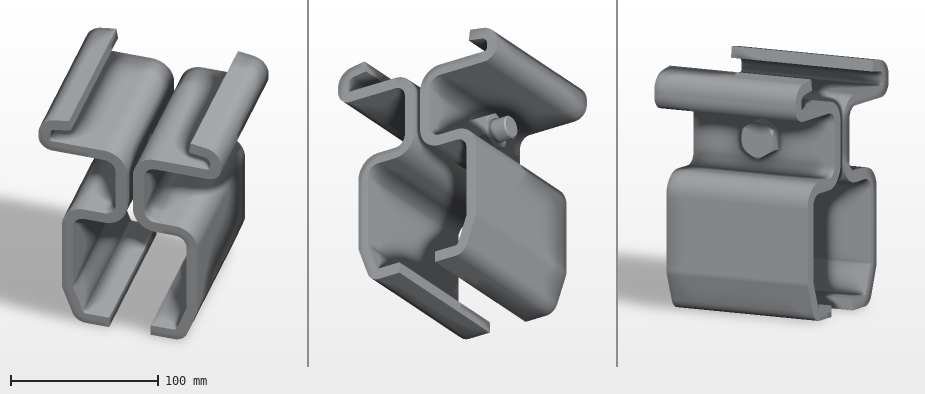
import cadquery as cq
import math

overall_width = 130.0
overall_height = 168.5
rail_length = 110.0
wall = 8.0
half_wall = wall / 2
web_gap = 4.5
lip_gap = 29.3
track_width = 96.5
shoulder_top = 96.0
flange_bottom = 141.1
slant_top = 27.6
slant_angle = 20.0
hook_tip_x = 42.7
hook_rise = 8.5

sharp_bend = 0.2
tight_bend = 2.0
hook_bend = 4.9
wide_bend = 8.1

bolt_z = (shoulder_top + flange_bottom) / 2
bolt_diameter = 16.0
clearance_diameter = 17.0
tip_diameter = 13.8
bolt_tip_x = -40.3
across_flats = 24.0
across_corners = across_flats / math.cos(math.radians(30))
head_height = 10.0
head_face_diameter = 24.6
bearing_diameter = 22.5
bearing_height = 0.5
head_chamfer_height = 1.3
nut_outer_x = -27.8
nut_face_diameter = 22.5
nut_chamfer_height = 0.7
washer_diameter = 27.5
washer_thickness = 2.7

web_outer_x = web_gap / 2 + wall
washer_outer_x = -web_outer_x - washer_thickness


def rail_path():
    """Corners (x, z) of the +X rail's middle line, each with its inside bend radius."""
    lip_z = half_wall
    wall_x = track_width / 2 - half_wall
    shoulder_z = shoulder_top - half_wall
    web_x = web_gap / 2 + half_wall
    flange_z = flange_bottom + half_wall
    hook_x = overall_width / 2 - half_wall
    slant_foot_x = wall_x - (slant_top - lip_z) * math.tan(math.radians(slant_angle))
    rise = math.radians(hook_rise)
    tip_z = overall_height - half_wall * math.cos(rise)
    hook_z = tip_z - (hook_x - hook_tip_x) * math.tan(rise)
    return [
        ((lip_gap / 2, lip_z), 0),
        ((slant_foot_x, lip_z), tight_bend),
        ((wall_x, slant_top), sharp_bend),
        ((wall_x, shoulder_z), wide_bend),
        ((web_x, shoulder_z), wide_bend),
        ((web_x, flange_z), wide_bend),
        ((hook_x, flange_z), tight_bend),
        ((hook_x, hook_z), hook_bend),
        ((hook_tip_x, tip_z), 0),
    ]


def strip_side(path, offset):
    """Edges of the line running parallel to a path with round bends, offset to its left."""
    points = [cq.Vector(x, z) for (x, z), _ in path]
    headings = [(b - a).normalized() for a, b in zip(points, points[1:])]
    normals = [cq.Vector(-h.y, h.x) for h in headings]
    edges = []
    start = points[0] + normals[0] * offset
    for i in range(1, len(points) - 1):
        turn = math.atan2(headings[i - 1].cross(headings[i]).z, headings[i - 1].dot(headings[i]))
        side = math.copysign(1, turn)
        middle_radius = path[i][1] + half_wall
        tangent_length = middle_radius * math.tan(abs(turn) / 2)
        bend_start = points[i] - headings[i - 1] * tangent_length
        center = bend_start + normals[i - 1] * (side * middle_radius)
        radius = middle_radius - side * offset
        arc_start = center - normals[i - 1] * (side * radius)
        arc_middle = center - (normals[i - 1] + normals[i]).normalized() * (side * radius)
        arc_end = center - normals[i] * (side * radius)
        edges.append(cq.Edge.makeLine(start, arc_start))
        edges.append(cq.Edge.makeThreePointArc(arc_start, arc_middle, arc_end))
        start = arc_end
    edges.append(cq.Edge.makeLine(start, points[-1] + normals[-1] * offset))
    return edges


def x_cylinder(start_x, end_x, diameter):
    """Cylinder on the bolt axis between two X positions."""
    plane = cq.Workplane("YZ", origin=(start_x, 0, bolt_z))
    return plane.circle(diameter / 2).extrude(end_x - start_x)


def make_rail():
    """The +X rail, with its bolt hole."""
    path = rail_path()
    left = strip_side(path, half_wall)
    right = strip_side(path, -half_wall)
    ends = [
        cq.Edge.makeLine(left[0].startPoint(), right[0].startPoint()),
        cq.Edge.makeLine(left[-1].endPoint(), right[-1].endPoint()),
    ]
    profile = cq.Wire.assembleEdges(cq.Wire.combine(left + right + ends)[0].Edges())
    blank = cq.Solid.extrudeLinear(profile, [], cq.Vector(0, 0, rail_length))
    upright = blank.rotate(cq.Vector(0, 0, 0), cq.Vector(1, 0, 0), 90)
    centred = cq.Workplane(upright).translate((0, rail_length / 2, 0))
    return centred.cut(x_cylinder(0, overall_width / 2, clearance_diameter))


def make_hexagon(start_x, end_x):
    """Hexagonal prism on the bolt axis, with corners pointing up and down."""
    plane = cq.Workplane("YZ", origin=(start_x, 0, bolt_z)).transformed(rotate=(0, 0, 90))
    return plane.polygon(6, across_corners).extrude(end_x - start_x)


def revolve_about_bolt(outline):
    """Solid turned about the bolt axis from (x, radius) points."""
    plane = cq.Workplane("XZ", origin=(0, 0, bolt_z))
    return plane.polyline(outline).close().revolve(360, (0, 0, 0), (1, 0, 0))


def make_bolt():
    """Hex bolt with a chamfered head and tip, and a raised bearing face under the head."""
    hexagon_x = web_outer_x + bearing_height
    head_end_x = web_outer_x + head_height
    head_envelope = revolve_about_bolt([
        (hexagon_x, 0),
        (hexagon_x, across_corners / 2),
        (head_end_x - head_chamfer_height, across_corners / 2),
        (head_end_x, head_face_diameter / 2),
        (head_end_x, 0),
    ])
    head = make_hexagon(hexagon_x, head_end_x).intersect(head_envelope)
    bearing_face = x_cylinder(web_outer_x, hexagon_x, bearing_diameter)
    tip_chamfer = (bolt_diameter - tip_diameter) / 2
    shank = x_cylinder(bolt_tip_x, web_outer_x, bolt_diameter).faces("<X").chamfer(tip_chamfer)
    return head.union(bearing_face).union(shank)


def make_nut():
    """Hex nut, chamfered at both faces."""
    envelope = revolve_about_bolt([
        (nut_outer_x, 0),
        (nut_outer_x, nut_face_diameter / 2),
        (nut_outer_x + nut_chamfer_height, across_corners / 2),
        (washer_outer_x - nut_chamfer_height, across_corners / 2),
        (washer_outer_x, nut_face_diameter / 2),
        (washer_outer_x, 0),
    ])
    body = make_hexagon(nut_outer_x, washer_outer_x).intersect(envelope)
    return body.cut(x_cylinder(nut_outer_x, washer_outer_x, bolt_diameter))


def make_washer():
    """Plain washer between the nut and the -X rail."""
    disc = x_cylinder(washer_outer_x, -web_outer_x, washer_diameter)
    return disc.cut(x_cylinder(washer_outer_x, -web_outer_x, clearance_diameter))


right_rail = make_rail()
left_rail = right_rail.mirror("YZ")
bolt = make_bolt()
nut = make_nut()
washer = make_washer()

result = cq.Compound.makeCompound([
    right_rail.val(),
    left_rail.val(),
    bolt.val(),
    nut.val(),
    washer.val(),
])